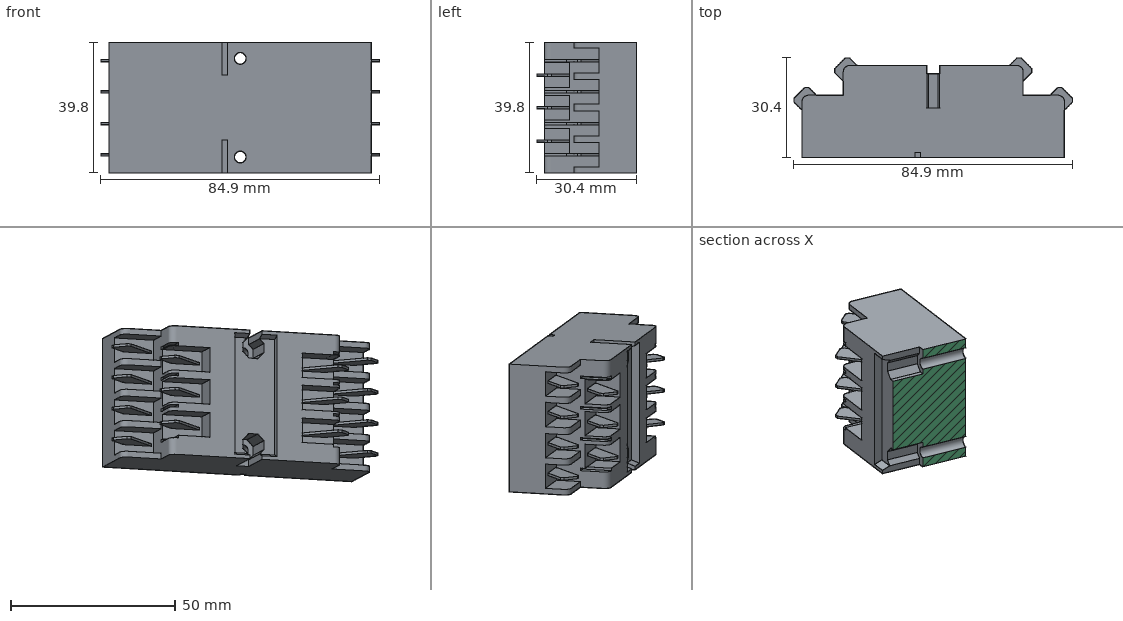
import cadquery as cq

overall_length = 84.9
height = 39.8
body_length = 80.0
upper_length = 54.8
lower_depth = 19.0
upper_depth = 28.1
corner_radius = 2.0

blade_thickness = 0.8
blade_corner_cut = 3.3
blade_corner_flat = 1.2
blade_sink = 0.4
pocket_height = 7.55
pocket_run = (body_length - upper_length) / 2
tier_rise = 9.0
tier_setback = 12.4
lower_blade_tip_x = overall_length / 2
lower_blade_tip_y = 21.4
lower_pocket_floor = 11.5
lower_terminal_heights = (-14.35, -4.8, 4.8, 14.35)
upper_terminal_heights = (-10.2, 0.0, 9.9)
slit_depth = 2.55

hole_diameter = 3.5
hole_height = 15.0
octagon_width = 6.7
channel_floor = 15.1
mouth_width = 3.9

recess_width = 13.6
recess_depth = 2.55
recess_lip = 1.1
recess_lip_root = 2.0

groove_width = 1.7
groove_depth = 1.5
groove_length = 10.0
groove_x = -4.75


def box_between(x_range, y_range, z_range):
    """Box spanning the given ranges along the three axes."""
    size = [high - low for low, high in (x_range, y_range, z_range)]
    corner = (x_range[0], y_range[0], z_range[0])
    return cq.Workplane("XY").box(*size, centered=False).translate(corner)


def centred_range(middle, size):
    return middle - size / 2, middle + size / 2


def both_ends(shape):
    """The shape together with its mirror image in the mid-height plane."""
    return shape.union(shape.mirror("XY"))


def housing():
    half_body = body_length / 2
    half_upper = upper_length / 2
    outline = [
        (-half_body, 0),
        (half_body, 0),
        (half_body, lower_depth),
        (half_upper, lower_depth),
        (half_upper, upper_depth),
        (-half_upper, upper_depth),
        (-half_upper, lower_depth),
        (-half_body, lower_depth),
    ]
    block = cq.Workplane("XY").polyline(outline).close().extrude(height / 2, both=True)
    rounded_edges = []
    for x, y in ((half_body, lower_depth), (half_upper, upper_depth)):
        for side in (-1, 1):
            rounded_edges += block.edges(cq.NearestToPointSelector((side * x, y, 0))).vals()
    return block.newObject(rounded_edges).fillet(corner_radius)


def pockets(outer_x, floor_y, top_y, heights):
    """Pockets of one tier on the +X side, open outward and toward the back."""
    cutter = cq.Workplane("XY")
    for z in heights:
        z_range = centred_range(z, pocket_height)
        cutter = cutter.add(box_between((outer_x - pocket_run, outer_x), (floor_y, top_y), z_range))
    return cutter.combine()


def blades(tip_x, tip_y, floor_y, heights):
    """Blades of one tier on the +X side, with corners cut square to X and Y."""
    root_y = floor_y - blade_sink
    flat_end = blade_corner_cut + blade_corner_flat
    outline = [
        (tip_x, tip_y - flat_end),
        (tip_x, tip_y - blade_corner_cut),
        (tip_x - blade_corner_cut, tip_y),
        (tip_x - flat_end, tip_y),
        (tip_x - flat_end - (tip_y - root_y), root_y),
        (tip_x - (tip_y - flat_end - root_y), root_y),
    ]
    blade = cq.Workplane("XY").polyline(outline).close().extrude(blade_thickness / 2, both=True)
    tier = cq.Workplane("XY")
    for z in heights:
        tier = tier.add(blade.translate((0, 0, z)))
    return tier.combine()


def blade_slits():
    """Slits in the +X end of the upper block, level with the lower blades."""
    outer_x = upper_length / 2
    cutter = cq.Workplane("XY")
    for z in lower_terminal_heights:
        z_range = centred_range(z, blade_thickness)
        cutter = cutter.add(box_between((outer_x - slit_depth, outer_x), (lower_depth, upper_depth), z_range))
    return cutter.combine()


def screw_channels():
    """Through holes, octagonal head channels and the mouths that open them to the ends."""
    hole = cq.Workplane("XZ").center(0, hole_height).circle(hole_diameter / 2).extrude(-upper_depth)
    channel_run = upper_depth - recess_depth - channel_floor
    octagon = (
        cq.Workplane("XZ", origin=(0, channel_floor, 0))
        .polygon(8, octagon_width, circumscribed=True)
        .extrude(-channel_run)
        .translate((0, 0, hole_height))
    )
    mouth = box_between(centred_range(0, mouth_width), (channel_floor, upper_depth), (hole_height, height / 2))
    return both_ends(hole.union(octagon).union(mouth))


def back_recess():
    floor_y = upper_depth - recess_depth
    outer_z = height / 2 - recess_lip
    root_z = height / 2 - recess_lip_root
    outline = [(floor_y, -root_z), (upper_depth, -outer_z), (upper_depth, outer_z), (floor_y, root_z)]
    return cq.Workplane("YZ").polyline(outline).close().extrude(recess_width / 2, both=True)


def front_grooves():
    z_range = (height / 2 - groove_length, height / 2)
    return both_ends(box_between(centred_range(groove_x, groove_width), (0, groove_depth), z_range))


upper_pocket_floor = lower_pocket_floor + tier_rise
upper_blade_tip_x = lower_blade_tip_x - tier_setback
upper_blade_tip_y = lower_blade_tip_y + tier_rise

lower_pockets = pockets(body_length / 2, lower_pocket_floor, lower_depth, lower_terminal_heights)
upper_pockets = pockets(upper_length / 2, upper_pocket_floor, upper_depth, upper_terminal_heights)
lower_blades = blades(lower_blade_tip_x, lower_blade_tip_y, lower_pocket_floor, lower_terminal_heights)
upper_blades = blades(upper_blade_tip_x, upper_blade_tip_y, upper_pocket_floor, upper_terminal_heights)

result = housing()
for end_cutter in (lower_pockets, upper_pockets, blade_slits()):
    result = result.cut(end_cutter).cut(end_cutter.mirror("YZ"))
for cutter in (back_recess(), screw_channels(), front_grooves()):
    result = result.cut(cutter)
for tier in (lower_blades, upper_blades):
    result = result.union(tier).union(tier.mirror("YZ"))